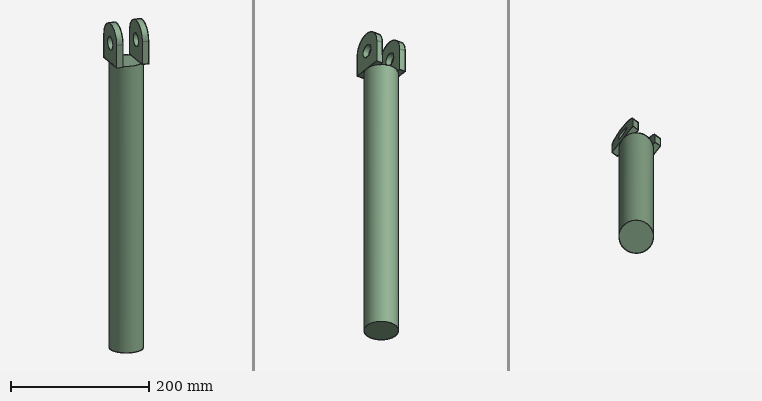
import cadquery as cq

total_height = 500.0
rod_diameter = 50.0

lug_height = 60.0
lug_thickness = 10.0
lug_width = rod_diameter
lug_tip_radius = lug_width / 2
pin_hole_diameter = 20.0
pin_hole_below_top = 30.0

rod_height = total_height - lug_height
tip_center_z = total_height - lug_tip_radius
pin_hole_z = total_height - pin_hole_below_top


def make_rod():
    """Solid round rod standing on the XY plane."""
    return cq.Workplane("XY").circle(rod_diameter / 2).extrude(rod_height)


def make_lug(back_y):
    """Round-topped plate with a pin hole, extending toward -Y from back_y."""
    half_width = lug_width / 2
    plate = (
        cq.Workplane("XZ", origin=(0, back_y, 0))
        .moveTo(-half_width, rod_height)
        .lineTo(half_width, rod_height)
        .lineTo(half_width, tip_center_z)
        .threePointArc((0, total_height), (-half_width, tip_center_z))
        .close()
        .extrude(lug_thickness)
    )
    pin_hole = (
        cq.Workplane("XZ", origin=(0, back_y, 0))
        .center(0, pin_hole_z)
        .circle(pin_hole_diameter / 2)
        .extrude(lug_thickness)
    )
    return plate.cut(pin_hole)


outer_y = rod_diameter / 2
front_lug = make_lug(-outer_y + lug_thickness)
back_lug = make_lug(outer_y)

result = make_rod().union(front_lug).union(back_lug)